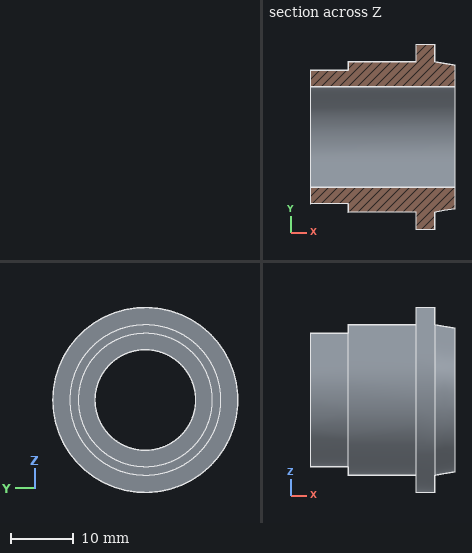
import cadquery as cq

flange_diameter = 29.5
body_diameter = 24.0
neck_diameter = 21.3
tip_diameter = 22.92
bore_diameter = 16.0

total_length = 23.0
neck_length = 6.0
body_length = 10.8
flange_thickness = 3.0

body_start = neck_length
flange_start = body_start + body_length
flange_end = flange_start + flange_thickness


def half_section():
    """Half section of the stepped wall, between the bore and the outer surface."""
    bore_radius = bore_diameter / 2
    neck_radius = neck_diameter / 2
    body_radius = body_diameter / 2
    flange_radius = flange_diameter / 2
    tip_radius = tip_diameter / 2
    return (
        cq.Workplane("XY")
        .moveTo(0, bore_radius)
        .lineTo(0, neck_radius)
        .lineTo(body_start, neck_radius)
        .lineTo(body_start, body_radius)
        .lineTo(flange_start, body_radius)
        .lineTo(flange_start, flange_radius)
        .lineTo(flange_end, flange_radius)
        .lineTo(flange_end, body_radius)
        .lineTo(total_length, tip_radius)
        .lineTo(total_length, bore_radius)
        .close()
    )


result = half_section().revolve(360, (0, 0, 0), (1, 0, 0))